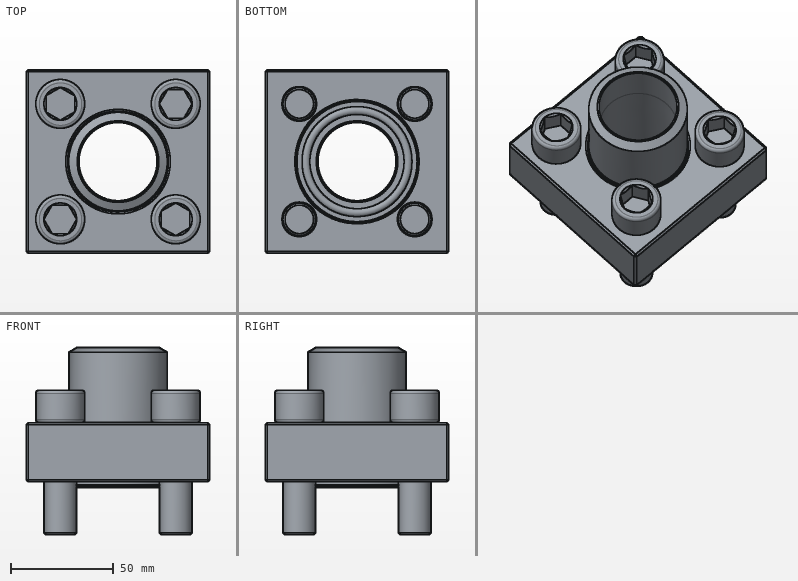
import cadquery as cq
import math

overall_height = 92.0
flange_bottom = 26.0
flange_top = 55.0
hub_bottom = 24.0

flange_side = 90.0
flange_chamfer = 1.0
flange_bore_diameter = 49.5
flange_bore_chamfer = 0.9
counterbore_diameter = 61.0
counterbore_depth = 14.0
bolt_hole_diameter = 17.0
bolt_circle_diameter = 80.0

collar_diameter = 60.0
collar_chamfer = 0.55
collar_top = flange_bottom + counterbore_depth
neck_diameter = 49.0
neck_top = flange_top + 0.3
pipe_diameter = 48.3
mouth_diameter = 40.0
weld_bevel_angle = 30.0
bore_diameter = 38.3
bore_taper_top = 73.1
bore_bottom_diameter = 40.0

groove_inner_diameter = 46.2
groove_outer_diameter = 54.0
groove_depth = 3.0
ring_section = (groove_outer_diameter - groove_inner_diameter) / 2
ring_mean_radius = (groove_outer_diameter + groove_inner_diameter) / 4
groove_ceiling = hub_bottom + groove_depth

shank_diameter = 16.0
tip_chamfer = 1.0
head_diameter = 24.0
head_height = shank_diameter
head_fillet = shank_diameter / 10
head_top = flange_top + head_height
socket_flats = 14.0
socket_corners = socket_flats / math.cos(math.radians(30))
socket_depth = 11.0
countersink_slope_angle = 45.0
bolt_count = 4
first_bolt_angle = 45.0
bolt_angles = [first_bolt_angle + i * 360 / bolt_count for i in range(bolt_count)]


def cylinder(diameter, bottom, top):
    """Upright cylinder about the Z axis between two levels."""
    return cq.Workplane("XY").workplane(offset=bottom).circle(diameter / 2).extrude(top - bottom)


def make_flange():
    """Square block with a stepped bore for the hub and four bolt holes."""
    block = (
        cq.Workplane("XY")
        .workplane(offset=flange_bottom)
        .rect(flange_side, flange_side)
        .extrude(flange_top - flange_bottom)
        .edges()
        .chamfer(flange_chamfer)
    )
    block = block.cut(cylinder(flange_bore_diameter, flange_bottom, flange_top))
    block = block.faces(">Z").edges("%CIRCLE").chamfer(flange_bore_chamfer)
    block = block.cut(cylinder(counterbore_diameter, flange_bottom, collar_top))
    bolt_holes = (
        cq.Workplane("XY")
        .workplane(offset=flange_bottom)
        .polarArray(bolt_circle_diameter / 2, first_bolt_angle, 360, bolt_count)
        .circle(bolt_hole_diameter / 2)
        .extrude(flange_top - flange_bottom)
    )
    return block.cut(bolt_holes)


def make_hub():
    """Hub turned from one half section, with a weld bevel at the mouth and a seal groove below."""
    bevel_width = (pipe_diameter - mouth_diameter) / 2
    bevel_height = bevel_width * math.tan(math.radians(weld_bevel_angle))
    half_section = [
        (bore_bottom_diameter / 2, hub_bottom),
        (collar_diameter / 2 - collar_chamfer, hub_bottom),
        (collar_diameter / 2, hub_bottom + collar_chamfer),
        (collar_diameter / 2, collar_top),
        (neck_diameter / 2, collar_top),
        (neck_diameter / 2, neck_top),
        (pipe_diameter / 2, neck_top),
        (pipe_diameter / 2, overall_height - bevel_height),
        (mouth_diameter / 2, overall_height),
        (bore_diameter / 2, overall_height),
        (bore_diameter / 2, bore_taper_top),
    ]
    body = cq.Workplane("XZ").polyline(half_section).close().revolve(360, (0, 0), (0, 1))
    groove = cylinder(groove_outer_diameter, hub_bottom, groove_ceiling).cut(
        cylinder(groove_inner_diameter, hub_bottom, groove_ceiling)
    )
    return body.cut(groove)


def make_seal_ring():
    """Round-section ring seated against the groove ceiling and standing proud of the hub."""
    return (
        cq.Workplane("XZ")
        .center(ring_mean_radius, groove_ceiling - ring_section / 2)
        .circle(ring_section / 2)
        .revolve(360, (-ring_mean_radius, 0), (-ring_mean_radius, 1))
    )


def make_socket():
    """Hexagonal recess with a conical lead-in that reaches the hexagon's corners."""
    hexagon = (
        cq.Workplane("XY")
        .workplane(offset=head_top - socket_depth)
        .polygon(6, socket_corners)
        .extrude(socket_depth)
    )
    cone_radius = socket_corners / 2
    cone_depth = cone_radius * math.tan(math.radians(countersink_slope_angle))
    lead_in = cq.Workplane(
        cq.Solid.makeCone(0, cone_radius, cone_depth, cq.Vector(0, 0, head_top - cone_depth))
    )
    return hexagon.union(lead_in)


def make_bolt():
    """Cap screw on the Z axis, with its head seated on the flange and its tip at zero."""
    head = cylinder(head_diameter, flange_top, head_top).edges().fillet(head_fillet)
    shank = cylinder(shank_diameter, 0, flange_top).faces("<Z").chamfer(tip_chamfer)
    return head.union(shank).cut(make_socket())


def place_bolt(bolt, angle):
    """Move a bolt out to the bolt circle and turn it about the flange axis.

    The socket has a corner along X or Y once the bolt has been swung to its diagonal.
    """
    turned = bolt.rotate((0, 0, 0), (0, 0, 1), -first_bolt_angle)
    moved = turned.translate((bolt_circle_diameter / 2, 0, 0))
    return moved.rotate((0, 0, 0), (0, 0, 1), angle)


flange = make_flange()
hub = make_hub()
seal_ring = make_seal_ring()
bolt = make_bolt()
bolts = [place_bolt(bolt, angle) for angle in bolt_angles]

result = cq.Compound.makeCompound(
    [flange.val(), hub.val(), seal_ring.val(), *[placed.val() for placed in bolts]]
)